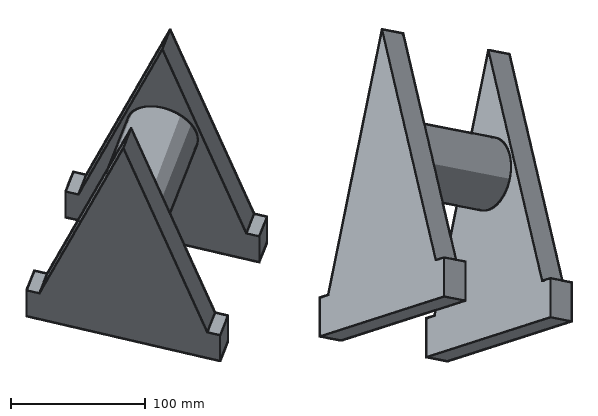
import cadquery as cq

width = 150.0
depth = 120.0
height = 220.0

plate_thickness = 20.0
foot_height = 30.0
triangle_base = 130.0

bar_diameter = 55.0
bar_height = 125.0


def end_plate(front_y):
    """Pointed plate whose front face lies at front_y, extending toward +Y."""
    outline = [
        (-width / 2, 0),
        (width / 2, 0),
        (width / 2, foot_height),
        (triangle_base / 2, foot_height),
        (0, height),
        (-triangle_base / 2, foot_height),
        (-width / 2, foot_height),
    ]
    return (
        cq.Workplane("XZ", origin=(0, front_y, 0))
        .polyline(outline)
        .close()
        .extrude(-plate_thickness)
    )


def cross_bar():
    """Round bar spanning the gap between the inner plate faces."""
    gap = depth - 2 * plate_thickness
    return (
        cq.Workplane("XZ", origin=(0, -gap / 2, bar_height))
        .circle(bar_diameter / 2)
        .extrude(-gap)
    )


front_plate = end_plate(-depth / 2)
back_plate = end_plate(depth / 2 - plate_thickness)
result = front_plate.union(cross_bar()).union(back_plate)